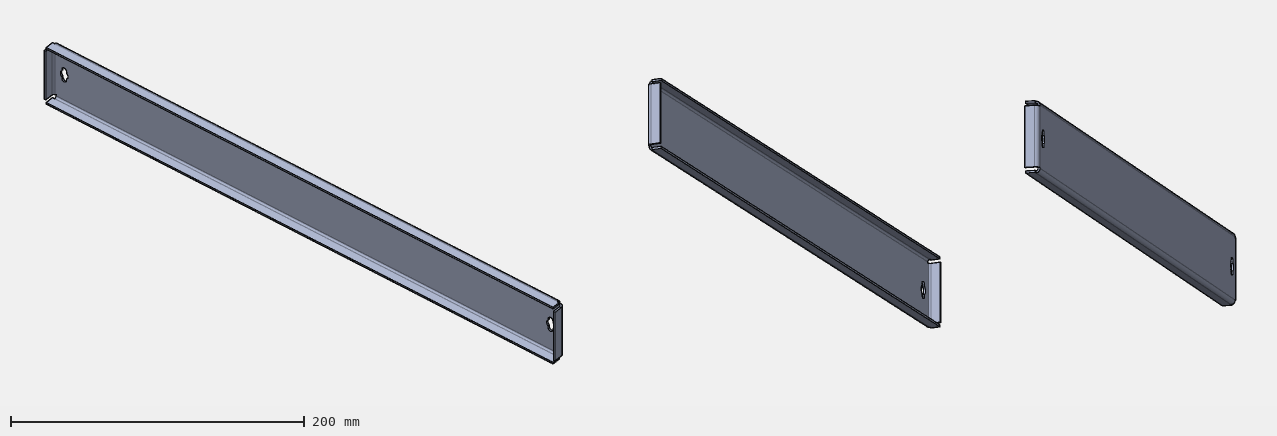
import cadquery as cq

length = 447.0
depth = 10.0
height = 50.0
thickness = 1.5
outer_bend_radius = 3.0
inner_bend_radius = outer_bend_radius - thickness

long_flange_setback = 2.0
end_flange_setback = 3.5

relief_length = 3.5

hole_diameter = 6.5
slot_width = 4.0
keyhole_height = 12.0
keyhole_spacing = 425.5


def folded_channel(x_size, z_size, bend_axis):
    """Back panel with two opposite flanges bent along bend_axis."""
    outer = cq.Workplane("XY").box(x_size, depth, z_size)
    outer = outer.edges(f">Y and |{bend_axis}").fillet(outer_bend_radius)

    cavity_x = x_size if bend_axis == "X" else x_size - 2 * thickness
    cavity_z = z_size if bend_axis == "Z" else z_size - 2 * thickness
    cavity = cq.Workplane("XY").box(cavity_x, depth, cavity_z)
    cavity = cavity.edges(f">Y and |{bend_axis}").fillet(inner_bend_radius)
    return outer.cut(cavity.translate((0, -thickness, 0)))


def without_flat_panel(channel, x_size, z_size):
    """Cut away the flat back of a channel, leaving only its bends and flanges."""
    window = cq.Workplane("XY").box(x_size, 2 * depth, z_size)
    return channel.cut(window)


panel_length = length - 2 * outer_bend_radius
panel_height = height - 2 * outer_bend_radius
panel = (
    cq.Workplane("XY")
    .box(panel_length, thickness, panel_height)
    .translate((0, (depth - thickness) / 2, 0))
)

long_flange_length = length - 2 * long_flange_setback
long_flanges = without_flat_panel(
    folded_channel(long_flange_length, height, "X"), length, panel_height
)

end_flange_height = height - 2 * end_flange_setback
end_flanges = without_flat_panel(
    folded_channel(length, end_flange_height, "Z"), panel_length, height
)

corner_reliefs = (
    cq.Workplane("XY")
    .rect(length - relief_length, height - end_flange_setback, forConstruction=True)
    .vertices()
    .rect(relief_length, end_flange_setback)
    .extrude(outer_bend_radius)
    .rotate((0, 0, 0), (1, 0, 0), 90)
    .translate((0, depth / 2, 0))
)

keyhole_centers = [(-keyhole_spacing / 2, 0), (keyhole_spacing / 2, 0)]
round_holes = (
    cq.Workplane("XZ")
    .pushPoints(keyhole_centers)
    .circle(hole_diameter / 2)
    .extrude(depth, both=True)
)
slots = (
    cq.Workplane("XZ")
    .pushPoints(keyhole_centers)
    .slot2D(keyhole_height, slot_width, 90)
    .extrude(depth, both=True)
)

tray = panel.union(long_flanges).union(end_flanges)
result = tray.cut(corner_reliefs).cut(round_holes).cut(slots)